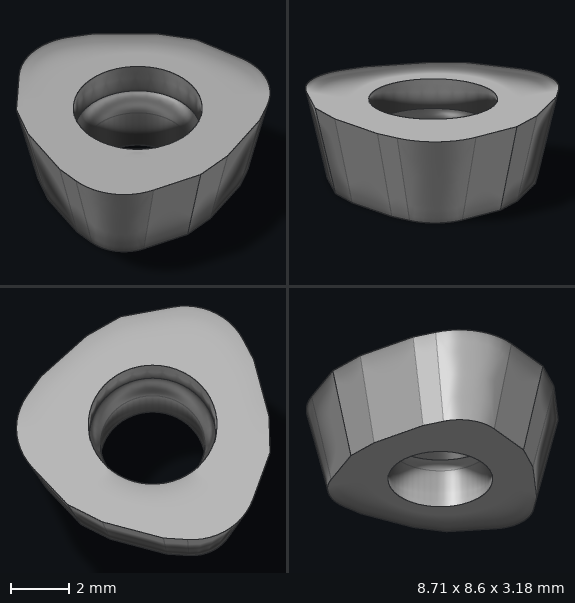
import cadquery as cq
import math

LOBES = 3
LOBE_ANGLE = 360 / LOBES

THICKNESS = 3.18
CLEARANCE_ANGLE = 13

MAIN_EDGE = (30.0, 3.956)
MINOR_EDGE = (17.5, 4.006)
LEADING_FLANK = (42.1, 4.186)
TRAILING_FLANK = (117.3, 4.158)
NOSE_RADIUS = 2.22

MOUTH_RADIUS = 2.21
SEAT_TOP_RADIUS = 2.17
BORE_RADIUS = 1.795
MOUTH_DEPTH = 1.06
SEAT_HEIGHT = 0.67


def turned(edge, angle):
    """Rotate an edge about the hole axis."""
    direction, distance = edge
    return direction + angle, distance


def moved_in(edge, offset):
    """Shift an edge towards the hole axis."""
    direction, distance = edge
    return direction, distance - offset


def polar_offset(point, radius, direction):
    """Point at a given radius and direction (degrees) from another point."""
    angle = math.radians(direction)
    return point[0] + radius * math.cos(angle), point[1] + radius * math.sin(angle)


def crossing(edge_a, edge_b):
    """Point where two edge lines meet."""
    angle_a = math.radians(edge_a[0])
    angle_b = math.radians(edge_b[0])
    spread = math.sin(angle_b - angle_a)
    x = (edge_a[1] * math.sin(angle_b) - edge_b[1] * math.sin(angle_a)) / spread
    y = (edge_b[1] * math.cos(angle_a) - edge_a[1] * math.cos(angle_b)) / spread
    return x, y


def add_lobe(outline, angle):
    """Continue the outline counter-clockwise around one lobe."""
    minor = turned(MINOR_EDGE, angle)
    main = turned(MAIN_EDGE, angle)
    leading = turned(LEADING_FLANK, angle)
    trailing = turned(TRAILING_FLANK, angle)
    next_minor = turned(minor, LOBE_ANGLE)

    nose_centre = crossing(moved_in(leading, NOSE_RADIUS), moved_in(trailing, NOSE_RADIUS))
    nose_start = polar_offset(nose_centre, NOSE_RADIUS, leading[0])
    nose_tip = polar_offset(nose_centre, NOSE_RADIUS, (leading[0] + trailing[0]) / 2)
    nose_end = polar_offset(nose_centre, NOSE_RADIUS, trailing[0])

    outline = outline.lineTo(*crossing(minor, main))
    outline = outline.lineTo(*crossing(main, leading))
    outline = outline.lineTo(*nose_start)
    outline = outline.threePointArc(nose_tip, nose_end)
    return outline.lineTo(*crossing(trailing, next_minor))


def make_body():
    """Three-lobed body, drawn on its top face and narrowing downwards."""
    start = crossing(turned(TRAILING_FLANK, -LOBE_ANGLE), MINOR_EDGE)
    outline = cq.Workplane("XY").workplane(offset=THICKNESS).moveTo(*start)
    for lobe in range(LOBES):
        outline = add_lobe(outline, lobe * LOBE_ANGLE)
    return outline.close().extrude(-THICKNESS, taper=CLEARANCE_ANGLE)


def make_hole():
    """Revolved screw hole whose convex seat runs tangentially into the bore."""
    seat_top = THICKNESS - MOUTH_DEPTH
    seat_bottom = seat_top - SEAT_HEIGHT
    seat_width = SEAT_TOP_RADIUS - BORE_RADIUS
    seat_radius = (seat_width**2 + SEAT_HEIGHT**2) / (2 * seat_width)
    seat_centre = (BORE_RADIUS + seat_radius, seat_bottom)
    seat_sweep = math.degrees(math.asin(SEAT_HEIGHT / seat_radius))
    seat_middle = polar_offset(seat_centre, seat_radius, 180 - seat_sweep / 2)
    return (
        cq.Workplane("XZ")
        .lineTo(BORE_RADIUS, 0)
        .lineTo(BORE_RADIUS, seat_bottom)
        .threePointArc(seat_middle, (SEAT_TOP_RADIUS, seat_top))
        .lineTo(MOUTH_RADIUS, THICKNESS)
        .lineTo(0, THICKNESS)
        .close()
        .revolve(360, (0, 0, 0), (0, 1, 0))
    )


result = make_body().cut(make_hole())